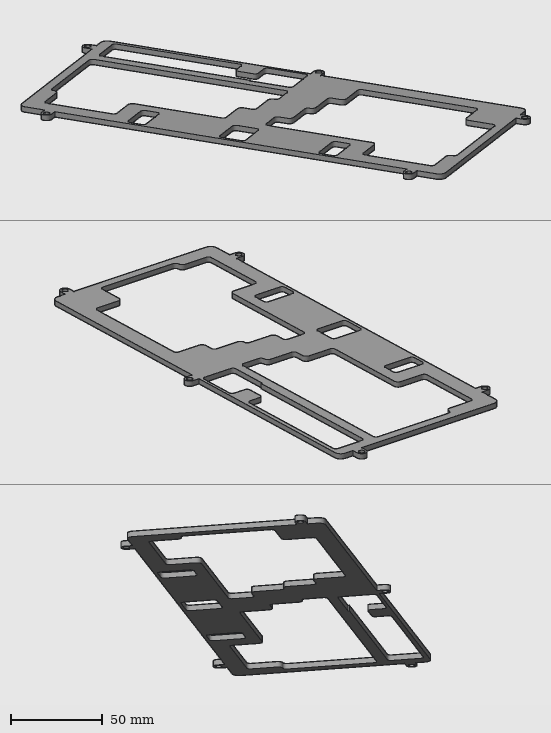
import cadquery as cq

TOTAL_LENGTH = 267.36
TOTAL_WIDTH = 124.84
THICKNESS = 3.2

FRAME_LENGTH = 253.6
FRAME_WIDTH = 110.8
FRAME_CORNER_RADIUS = 4.0

TAB_RADIUS = 3.0
TAB_HOLE_DIAMETER = 3.4
TAB_ROOT_LENGTH = 6.0
SIDE_TAB_Y = 43.1
BOTTOM_TAB_X = 108.3

POCKET_RADIUS = 2.0
SHOULDER_RADIUS = 2.7

PITCH = 19.05
QUARTER = PITCH / 4

ROW_BOTTOM = -45.25
ROW_SHELF = ROW_BOTTOM + PITCH
WINDOW_TOP = -ROW_SHELF
WINDOW_SIDE_X = 121.25
WELL_OUTER_X = WINDOW_SIDE_X - QUARTER
WELL_INNER_X = WELL_OUTER_X - 9 * QUARTER

LEFT_STAIR_X = -17.0

RIGHT_STAIR_X = WINDOW_SIDE_X - 24 * QUARTER
RIGHT_SHOULDER_X = WINDOW_SIDE_X - 4 * QUARTER
RIGHT_STAIR_Y = WINDOW_TOP - 2 * PITCH
RIGHT_WINDOW_TOP = 44.9

SLOT_LEFT_X = -119.6
SLOT_RIGHT_X = -3.4
SLOT_TOP = 52.7
SLOT_BOTTOM = 32.6
SLOT_STEP = 0.8
SLOT_STEP_X = -28.6
LUG_LEFT_X = -42.3
LUG_RIGHT_X = -29.2
LUG_BOTTOM = 42.3

SMALL_WINDOW_CENTER_X = -0.6
SMALL_WINDOW_SPACING = 3 * PITCH
SMALL_WINDOW_BOTTOM = -53.4
SMALL_WINDOW_HEIGHT = 20.2
OUTER_WINDOW_WIDTH = 10.8
MIDDLE_WINDOW_WIDTH = 15.5


def frame_plate():
    """Solid rectangular plate with rounded corners."""
    plate = cq.Workplane("XY").rect(FRAME_LENGTH, FRAME_WIDTH).extrude(THICKNESS)
    return plate.edges("|Z").fillet(FRAME_CORNER_RADIUS)


def tab_layout():
    """Hole centre and outward direction of every screw tab."""
    side_x = TOTAL_LENGTH / 2 - TAB_RADIUS
    end_y = TOTAL_WIDTH / 2 - TAB_RADIUS
    return [
        ((0, end_y), (0, 1)),
        ((-side_x, SIDE_TAB_Y), (-1, 0)),
        ((side_x, SIDE_TAB_Y), (1, 0)),
        ((-BOTTOM_TAB_X, -end_y), (0, -1)),
        ((BOTTOM_TAB_X, -end_y), (0, -1)),
    ]


def tab_body(center, direction):
    """Round-ended tab whose straight root overlaps the frame."""
    heading = cq.Vector(*direction)
    sideways = cq.Vector(-heading.y, heading.x) * TAB_RADIUS
    end = cq.Vector(*center)
    root = end - heading * TAB_ROOT_LENGTH
    outline = (
        cq.Workplane("XY")
        .moveTo(*(root - sideways).toTuple()[:2])
        .lineTo(*(end - sideways).toTuple()[:2])
        .threePointArc(
            (end + heading * TAB_RADIUS).toTuple()[:2],
            (end + sideways).toTuple()[:2],
        )
        .lineTo(*(root + sideways).toTuple()[:2])
        .close()
    )
    return outline.extrude(THICKNESS)


def turns_left(before, corner, after):
    """True where the path before-corner-after turns anticlockwise."""
    step_in = cq.Vector(*corner) - cq.Vector(*before)
    step_out = cq.Vector(*after) - cq.Vector(*corner)
    return step_in.cross(step_out).z > 0


def rounded_cutter(points):
    """Through cutter from a clockwise polygon, its pocket and shoulder corners rounded."""
    cutter = cq.Workplane("XY").polyline(points).close().extrude(THICKNESS)
    for index, corner in enumerate(points):
        following = points[(index + 1) % len(points)]
        is_shoulder = turns_left(points[index - 1], corner, following)
        radius = SHOULDER_RADIUS if is_shoulder else POCKET_RADIUS
        at_corner = cq.selectors.NearestToPointSelector((*corner, THICKNESS / 2))
        cutter = cutter.edges("|Z").edges(at_corner).fillet(radius)
    return cutter


def left_window():
    """Opening with a staircase down its right side and a well at its lower left."""
    points = [
        (-WINDOW_SIDE_X, WINDOW_TOP),
        (LEFT_STAIR_X + 3 * QUARTER, WINDOW_TOP),
        (LEFT_STAIR_X + 3 * QUARTER, ROW_SHELF + 2 * PITCH),
        (LEFT_STAIR_X + 2 * QUARTER, ROW_SHELF + 2 * PITCH),
        (LEFT_STAIR_X + 2 * QUARTER, ROW_SHELF + PITCH),
        (LEFT_STAIR_X, ROW_SHELF + PITCH),
        (LEFT_STAIR_X, ROW_SHELF),
        (-WELL_INNER_X, ROW_SHELF),
        (-WELL_INNER_X, ROW_BOTTOM),
        (-WELL_OUTER_X, ROW_BOTTOM),
        (-WELL_OUTER_X, ROW_SHELF),
        (-WINDOW_SIDE_X, ROW_SHELF),
    ]
    return rounded_cutter(points)


def right_window():
    """Opening with a staircase down its left side and a well at its lower right."""
    points = [
        (RIGHT_STAIR_X, ROW_SHELF),
        (RIGHT_STAIR_X, RIGHT_STAIR_Y),
        (RIGHT_STAIR_X + 2 * QUARTER, RIGHT_STAIR_Y),
        (RIGHT_STAIR_X + 2 * QUARTER, RIGHT_STAIR_Y + PITCH),
        (RIGHT_STAIR_X + 3 * QUARTER, RIGHT_STAIR_Y + PITCH),
        (RIGHT_STAIR_X + 3 * QUARTER, WINDOW_TOP),
        (RIGHT_STAIR_X + 5 * QUARTER, WINDOW_TOP),
        (RIGHT_STAIR_X + 5 * QUARTER, RIGHT_WINDOW_TOP),
        (RIGHT_SHOULDER_X, RIGHT_WINDOW_TOP),
        (RIGHT_SHOULDER_X, WINDOW_TOP),
        (WINDOW_SIDE_X, WINDOW_TOP),
        (WINDOW_SIDE_X, ROW_SHELF),
        (WELL_OUTER_X, ROW_SHELF),
        (WELL_OUTER_X, ROW_BOTTOM),
        (WELL_INNER_X, ROW_BOTTOM),
        (WELL_INNER_X, ROW_SHELF),
    ]
    return rounded_cutter(points)


def upper_slot():
    """Long slot and a slightly taller bay, joined below the hanging lug."""
    bay_top = SLOT_TOP + SLOT_STEP
    bay_bottom = SLOT_BOTTOM - SLOT_STEP
    points = [
        (SLOT_LEFT_X, SLOT_BOTTOM),
        (SLOT_LEFT_X, SLOT_TOP),
        (LUG_LEFT_X, SLOT_TOP),
        (LUG_LEFT_X, LUG_BOTTOM),
        (LUG_RIGHT_X, LUG_BOTTOM),
        (LUG_RIGHT_X, bay_top),
        (SLOT_RIGHT_X, bay_top),
        (SLOT_RIGHT_X, bay_bottom),
        (SLOT_STEP_X, bay_bottom),
        (SLOT_STEP_X, SLOT_BOTTOM),
    ]
    cutter = cq.Workplane("XY").polyline(points).close().extrude(THICKNESS)
    sharp_corners = points[-2:]
    for x, y in points:
        if (x, y) not in sharp_corners:
            at_corner = cq.selectors.NearestToPointSelector((x, y, THICKNESS / 2))
            cutter = cutter.edges("|Z").edges(at_corner).fillet(POCKET_RADIUS)
    return cutter


def small_windows():
    """Three rectangular windows, the middle one wider."""
    center_y = SMALL_WINDOW_BOTTOM + SMALL_WINDOW_HEIGHT / 2
    widths = (OUTER_WINDOW_WIDTH, MIDDLE_WINDOW_WIDTH, OUTER_WINDOW_WIDTH)
    cutters = []
    for index, width in enumerate(widths):
        center_x = SMALL_WINDOW_CENTER_X + (index - 1) * SMALL_WINDOW_SPACING
        block = cq.Workplane("XY").center(center_x, center_y).rect(width, SMALL_WINDOW_HEIGHT)
        cutters.append(block.extrude(THICKNESS).edges("|Z").fillet(POCKET_RADIUS))
    return cutters


def build():
    tabs = tab_layout()
    part = frame_plate()
    for center, direction in tabs:
        part = part.union(tab_body(center, direction))
    for cutter in [left_window(), right_window(), upper_slot(), *small_windows()]:
        part = part.cut(cutter)
    hole_centers = [center for center, _ in tabs]
    holes = cq.Workplane("XY").pushPoints(hole_centers).circle(TAB_HOLE_DIAMETER / 2).extrude(THICKNESS)
    return part.cut(holes)


result = build()